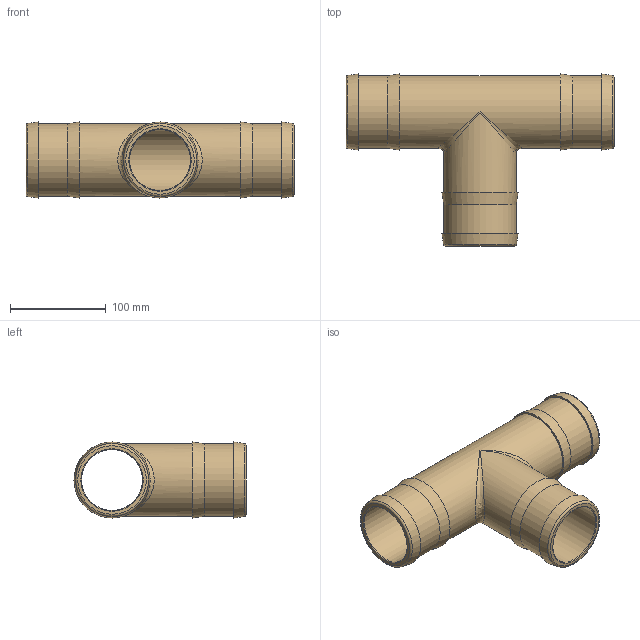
import cadquery as cq

arm_length = 139.7
tube_radius = 75.44 / 2
barb_radius = 79.375 / 2
bore_radius = 63.5 / 2

barb_length = 12.7
barb_pitch = 43.18
barb_count = 2

tip_round = 2.286
mouth_round = 0.8

crotch_radius = 6.35

run_arm_angles = (0, 180)
branch_angle = -90
full_turn = 360

origin = (0, 0, 0)
x_axis = (1, 0, 0)
z_axis = (0, 0, 1)


def make_arm(angle):
    """Solid barbed arm from the tee centre to its open end, turned about Z from +X."""
    profile = cq.Workplane("XZ").lineTo(arm_length, 0)
    for index in range(barb_count):
        narrow_end = arm_length - index * barb_pitch
        shoulder = narrow_end - barb_length
        profile = profile.lineTo(narrow_end, tube_radius)
        profile = profile.lineTo(shoulder, barb_radius).lineTo(shoulder, tube_radius)
    arm = profile.lineTo(0, tube_radius).close().revolve(full_turn, origin, x_axis)
    return arm.faces(">X").edges().fillet(tip_round).rotate(origin, z_axis, angle)


def make_bore(angle):
    """Bore from the tee centre through one open end, rounded outward at its mouth."""
    mouth_start = arm_length - mouth_round
    mouth_radius = bore_radius + mouth_round
    profile = cq.Workplane("XZ").lineTo(0, bore_radius).lineTo(mouth_start, bore_radius)
    profile = profile.tangentArcPoint((arm_length, mouth_radius), relative=False)
    bore = profile.lineTo(arm_length, 0).close().revolve(full_turn, origin, x_axis)
    return bore.rotate(origin, z_axis, angle)


def join_tee(make_piece):
    """Unite one piece per arm: two make the straight run, the third is the branch."""
    first_angle, second_angle = run_arm_angles
    run = make_piece(first_angle).union(make_piece(second_angle)).clean()
    return run.union(make_piece(branch_angle))


def blend_crotch(body):
    """Round the inside corners where the branch meets the run."""
    return body.edges("%ELLIPSE").fillet(crotch_radius)


result = blend_crotch(join_tee(make_arm)).cut(join_tee(make_bore))